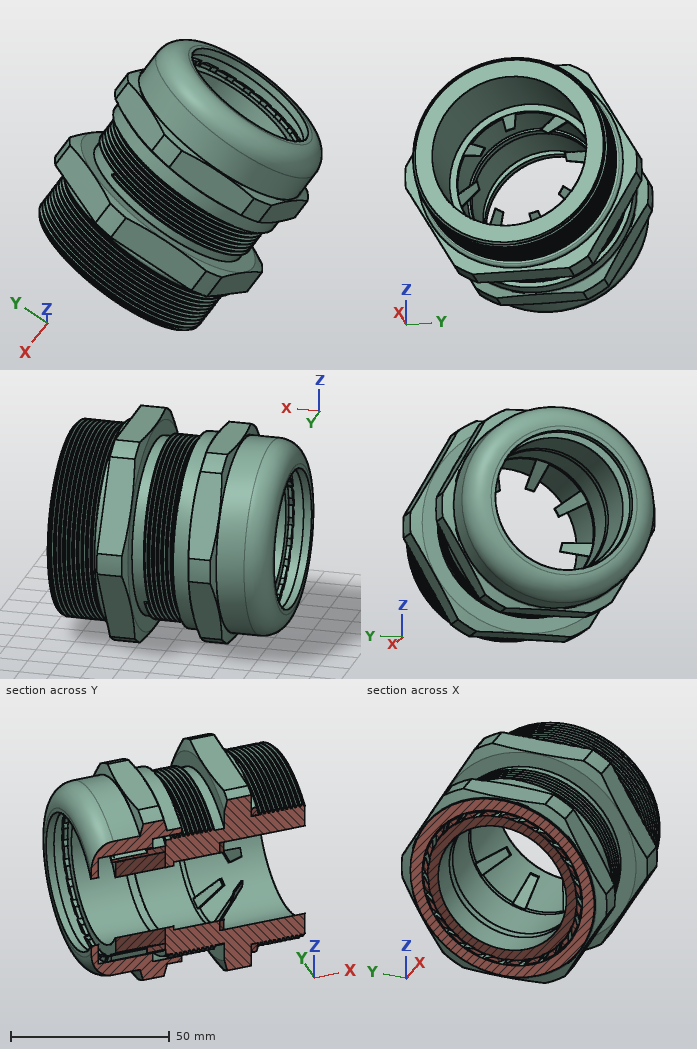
import cadquery as cq
import math


LENGTH = 72.1
CAGE_FRONT = 6.95
SEAL_FRONT = 8.2
CAP_HEX_FRONT = 16.5
CAP_HEX_BACK = 25.65
BODY_FRONT = 25.1
CAP_BACK = 30.6
NECK_THREAD_END = 42.0
SPRING_FRONT = 43.4
BODY_HEX_FRONT = 44.9
BODY_HEX_BACK = 54.0
GASKET_BACK = 56.2

CAP_DIAMETER = 63.0
CAP_ROUNDING = 7.5
CAP_MOUTH_DIAMETER = 45.0
CAP_LIP_LENGTH = 2.6
CAP_CAGE_BORE = 54.5
CAP_THREAD_BORE = 59.5
CAP_THREAD_BORE_FRONT = 20.95
CAP_FLATS = 64.2
CAP_CORNERS = 70.0
CAP_BEVEL_DIAMETER = 63.6
CAP_BEVEL_LENGTH = 1.05

CAGE_DIAMETER = 54.15
CAGE_BORE = 50.8
LAMELLA_COUNT = 24
LAMELLA_LENGTH = 12.0
SLOT_WIDTH = 1.05
SLOT_REACH = 17.95
SLOT_LEAN = 25.0
SLOT_TURN = -5.6

SEAL_DIAMETER = CAGE_BORE
SEAL_BORE = 43.6

CUT_MARGIN = 0.75

BODY_LIP_LENGTH = 2.8
BODY_LIP_BORE = SEAL_BORE
BODY_BORE = 45.2
NECK_DIAMETER = 57.6
NECK_ROOT_DIAMETER = 57.45
NECK_THREAD_DIAMETER = 59.3
NECK_THREAD_START = BODY_FRONT + 1.5
NECK_RIDGE_END = NECK_THREAD_END - 0.15
BODY_FLATS = 68.0
BODY_CORNERS = 74.8
BODY_BEVEL_DIAMETER = 67.6
BODY_BEVEL_LENGTH = 1.0
MOUNT_ROOT_DIAMETER = 61.25
MOUNT_THREAD_DIAMETER = 63.0
MOUNT_THREAD_START = BODY_HEX_BACK + 1.3
MOUNT_CHAMFER = 1.05
THREAD_PITCH = 1.5
THREAD_BASE = 0.84 * THREAD_PITCH
THREAD_CREST = 0.12 * THREAD_PITCH
THREAD_OVERLAP = 0.1

GASKET_DIAMETER = 66.4

SPRING_DIAMETER = 49.8
SPRING_RING_LENGTH = 1.5
FINGER_ROOT_RADIUS = BODY_BORE / 2 + 0.75
FINGER_COUNT = 8
FINGER_TURN = 15.0
FINGER_TIP_RADIUS = 14.65
FINGER_ROOT_WIDTH = 4.65
FINGER_TIP_WIDTH = 2.9
FINGER_SLOPE = 45.0
FINGER_THICKNESS = 0.45


def cylinder(diameter, start, end):
    """Solid cylinder on the X axis from start to end."""
    return cq.Workplane("YZ", origin=(start, 0, 0)).circle(diameter / 2).extrude(end - start)


def tube(outer, bore, start, end):
    """Straight tube on the X axis."""
    return cylinder(outer, start, end).cut(cylinder(bore, start, end))


def revolved(profile):
    """Turns an (X, radius) outline around the X axis."""
    return cq.Workplane("XY").polyline(profile).close().revolve(360, (0, 0, 0), (1, 0, 0))


def hexagon(flats, corners, start, end):
    """Hexagon with flats facing +Z and -Z and its corners turned down to a diameter."""
    prism = (
        cq.Workplane("YZ", origin=(start, 0, 0))
        .polygon(6, flats / math.cos(math.pi / 6))
        .extrude(end - start)
    )
    return prism.intersect(cylinder(corners, start, end))


def bevel(prism, face, far, face_diameter, outer_diameter, length):
    """Trims the corners of a hexagon's end face at X = face, whose other end is at X = far."""
    direction = math.copysign(1, far - face)
    cone = revolved([
        (face, 0),
        (face, face_diameter / 2),
        (face + direction * length, outer_diameter / 2),
        (far, outer_diameter / 2),
        (far, 0),
    ])
    return prism.intersect(cone)


def thread_ridge(root_diameter, crest_diameter, start, end):
    """Right-hand V-shaped ridge winding along the X axis."""
    root = root_diameter / 2 - THREAD_OVERLAP
    crest = crest_diameter / 2
    half_base = THREAD_BASE / 2
    half_crest = THREAD_CREST / 2
    path = cq.Wire.makeHelix(THREAD_PITCH, end - start, root)
    ridge = (
        cq.Workplane("XZ")
        .polyline([(root, -half_base), (crest, -half_crest), (crest, half_crest), (root, half_base)])
        .close()
        .sweep(cq.Workplane(obj=path), isFrenet=True)
    )
    return ridge.rotate((0, 0, 0), (0, 1, 0), 90).translate((start, 0, 0))


def make_cap():
    outer = cylinder(CAP_DIAMETER, 0, CAP_BACK).faces("<X").edges().fillet(CAP_ROUNDING)
    grip = hexagon(CAP_FLATS, CAP_CORNERS, CAP_HEX_FRONT, CAP_HEX_BACK)
    grip = bevel(grip, CAP_HEX_FRONT, CAP_HEX_BACK, CAP_BEVEL_DIAMETER, CAP_CORNERS, CAP_BEVEL_LENGTH)
    grip = bevel(grip, CAP_HEX_BACK, CAP_HEX_FRONT, CAP_BEVEL_DIAMETER, CAP_CORNERS, CAP_BEVEL_LENGTH)
    return (
        outer.union(grip)
        .cut(cylinder(CAP_MOUTH_DIAMETER, 0, CAP_LIP_LENGTH))
        .cut(cylinder(CAP_CAGE_BORE, CAP_LIP_LENGTH, CAP_THREAD_BORE_FRONT))
        .cut(cylinder(CAP_THREAD_BORE, CAP_THREAD_BORE_FRONT, CAP_BACK))
    )


def make_cage():
    ring = tube(CAGE_DIAMETER, CAGE_BORE, CAGE_FRONT, BODY_FRONT)
    slot = (
        cq.Workplane("XY")
        .box(LAMELLA_LENGTH, SLOT_WIDTH, SLOT_REACH, centered=(False, True, False))
        .translate((CAGE_FRONT, 0, -SLOT_WIDTH))
        .rotate((0, 0, 0), (1, 0, 0), -SLOT_LEAN)
        .translate((0, CAGE_BORE / 2, 0))
    )
    for number in range(LAMELLA_COUNT):
        turn = SLOT_TURN + number * 360 / LAMELLA_COUNT
        ring = ring.cut(slot.rotate((0, 0, 0), (1, 0, 0), turn))
    return ring


def make_seal():
    return tube(SEAL_DIAMETER, SEAL_BORE, SEAL_FRONT, BODY_FRONT)


def mount_end_waste():
    """Metal that the chamfered free end removes from the mounting thread."""
    end_radius = MOUNT_THREAD_DIAMETER / 2 - MOUNT_CHAMFER
    outside = MOUNT_THREAD_DIAMETER / 2 + CUT_MARGIN
    return revolved([
        (LENGTH, 0),
        (LENGTH, end_radius),
        (LENGTH - MOUNT_CHAMFER - CUT_MARGIN, outside),
        (LENGTH + 2 * THREAD_PITCH, outside),
        (LENGTH + 2 * THREAD_PITCH, 0),
    ])


def make_body():
    neck = cylinder(NECK_ROOT_DIAMETER, BODY_FRONT, BODY_HEX_FRONT)
    neck = neck.union(
        thread_ridge(NECK_ROOT_DIAMETER, NECK_THREAD_DIAMETER, NECK_THREAD_START, NECK_RIDGE_END)
    )
    neck = neck.union(cylinder(NECK_DIAMETER, NECK_THREAD_END, BODY_HEX_FRONT))
    mount = cylinder(MOUNT_ROOT_DIAMETER, BODY_HEX_BACK, LENGTH)
    mount = mount.union(
        thread_ridge(MOUNT_ROOT_DIAMETER, MOUNT_THREAD_DIAMETER, MOUNT_THREAD_START, LENGTH + THREAD_PITCH / 2)
    )
    mount = mount.cut(mount_end_waste())
    gasket_space = tube(MOUNT_THREAD_DIAMETER + 2 * CUT_MARGIN, MOUNT_ROOT_DIAMETER, BODY_HEX_BACK, GASKET_BACK)
    mount = mount.cut(gasket_space)
    grip = hexagon(BODY_FLATS, BODY_CORNERS, BODY_HEX_FRONT, BODY_HEX_BACK)
    grip = bevel(grip, BODY_HEX_FRONT, BODY_HEX_BACK, BODY_BEVEL_DIAMETER, BODY_CORNERS, BODY_BEVEL_LENGTH)
    lip_back = BODY_FRONT + BODY_LIP_LENGTH
    return (
        grip.union(neck)
        .union(mount)
        .cut(cylinder(BODY_LIP_BORE, BODY_FRONT, lip_back))
        .cut(cylinder(BODY_BORE, lip_back, SPRING_FRONT))
        .cut(cylinder(SPRING_DIAMETER, SPRING_FRONT, LENGTH))
    )


def make_gasket():
    rounding = (GASKET_BACK - BODY_HEX_BACK) / 2
    shoulder = GASKET_DIAMETER / 2 - rounding
    return (
        cq.Workplane("XY")
        .moveTo(BODY_HEX_BACK, MOUNT_ROOT_DIAMETER / 2)
        .lineTo(BODY_HEX_BACK, shoulder)
        .threePointArc((BODY_HEX_BACK + rounding, GASKET_DIAMETER / 2), (GASKET_BACK, shoulder))
        .lineTo(GASKET_BACK, MOUNT_ROOT_DIAMETER / 2)
        .close()
        .revolve(360, (0, 0, 0), (1, 0, 0))
    )


def make_spring():
    ring_back = SPRING_FRONT + SPRING_RING_LENGTH
    ring = tube(SPRING_DIAMETER, BODY_BORE, SPRING_FRONT, ring_back)
    slope = math.tan(math.radians(FINGER_SLOPE))
    tip_x = SPRING_FRONT + (FINGER_ROOT_RADIUS - FINGER_TIP_RADIUS) / slope
    wall = FINGER_THICKNESS / math.sin(math.radians(FINGER_SLOPE))
    funnel = revolved([
        (SPRING_FRONT, FINGER_ROOT_RADIUS),
        (SPRING_FRONT + wall, FINGER_ROOT_RADIUS),
        (tip_x + wall, FINGER_TIP_RADIUS),
        (tip_x, FINGER_TIP_RADIUS),
    ])
    outline = (
        cq.Workplane("YZ", origin=(SPRING_FRONT, 0, 0))
        .polyline([
            (0, -FINGER_TIP_WIDTH / 2),
            (FINGER_TIP_RADIUS, -FINGER_TIP_WIDTH / 2),
            (FINGER_ROOT_RADIUS, -FINGER_ROOT_WIDTH / 2),
            (SPRING_DIAMETER / 2, -FINGER_ROOT_WIDTH / 2),
            (SPRING_DIAMETER / 2, FINGER_ROOT_WIDTH / 2),
            (FINGER_ROOT_RADIUS, FINGER_ROOT_WIDTH / 2),
            (FINGER_TIP_RADIUS, FINGER_TIP_WIDTH / 2),
            (0, FINGER_TIP_WIDTH / 2),
        ])
        .close()
        .extrude(LENGTH - SPRING_FRONT)
    )
    finger = funnel.intersect(outline)
    for number in range(FINGER_COUNT):
        turn = FINGER_TURN + number * 360 / FINGER_COUNT
        ring = ring.union(finger.rotate((0, 0, 0), (1, 0, 0), turn))
    return ring


cap = make_cap()
cage = make_cage()
seal = make_seal()
body = make_body()
gasket = make_gasket()
spring = make_spring()

result = cq.Compound.makeCompound([
    cap.val(),
    cage.val(),
    seal.val(),
    body.val(),
    gasket.val(),
    spring.val(),
])